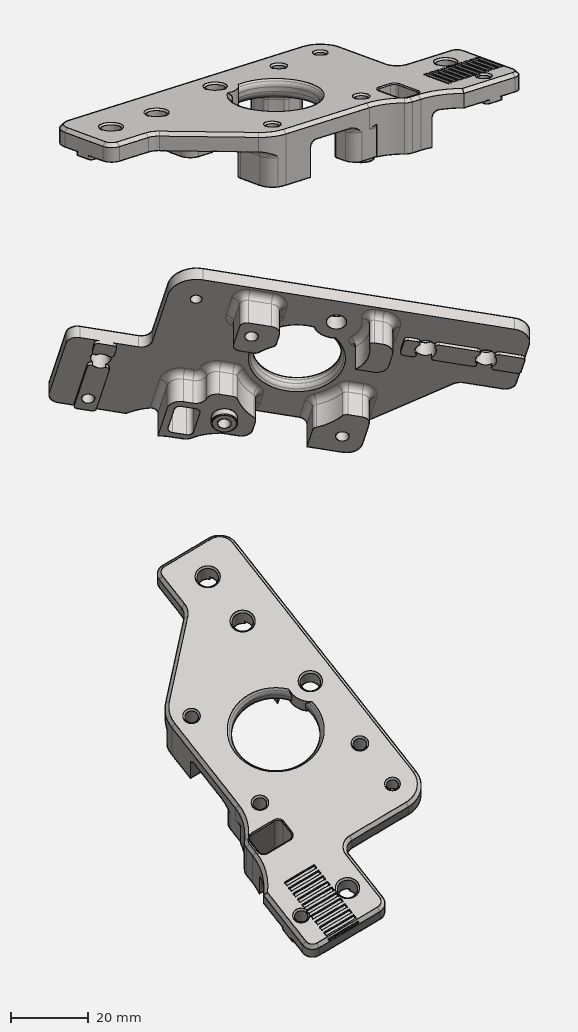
import cadquery as cq
import math

length = 116.0
width = 53.0
total_depth = 17.0
plate_depth = 5.0
boss_depth = 15.0
rail_depth = 6.0
overlap = 0.6
edge_chamfer = 1.0
hole_chamfer = 0.5

head_left = 28.1
shoulder = 94.5
foot_width = 22.4
body_right = 44.4
waist_right = 48.7
slant_offset = 7.7
head_right_bottom = 95.1
waist_top = 84.0
waist_bottom = 79.8
lower_sweep_start = 70.0
tight_corner = 3.0
base_corner = 5.0
shoulder_corner = 7.5
slant_upper_corner = 10.0
slant_lower_corner = 4.0

motor_x = 23.1
motor_y = 57.0
motor_half_pitch = 15.5
motor_hole = 3.5
bore_radius = 11.4
bore_flare = 0.6
bore_waist_height = 1.3
motor_relief = 16.0
relief_corner = 1.5

side_screw = (7.7, 50.1)
side_screw_hole = 5.2
screw_land_radius = 6.0
screw_relief = 8.6
screw_relief_corner = 1.0
foot_screw_x = 12.0
foot_screw_ys = (9.7, 25.6)
foot_screw_hole = 5.5
head_y = 106.0
head_screw_x = 34.3
head_screw_hole = 5.2
head_pin_x = 48.7
head_pin_hole = 3.4
corner_pin = (7.4, 87.1)
corner_pin_hole = 3.0
rail_width = 5.8
rail_corner = 1.0
rail_gap = 4.0
foot_rail_end = 31.8

window_left = 37.0
window_right = 47.0
window_bottom = 79.0
window_top = 85.7
window_corner = 1.5
window_wall = 1.9
window_chamfer = 0.3

boss_root_fillet = 2.0
left_boss_left = 2.8
left_boss_right = 13.5
upper_left_bottom = 65.7
upper_left_top = 76.3
upper_left_bottom_corner = 2.7
upper_left_top_corner = 2.0
lower_boss_bottom = 35.7
lower_boss_top = 49.4
lower_left_corner = 3.2
right_boss_left = 30.4
upper_right_bottom = 64.4
upper_right_top = 78.6
upper_right_corner = 3.0
lower_right_inner_corner = 2.3
lower_right_outer_corner = 4.3
pillar_corner = 3.5
trim_margin = 11.6
locating_ring = 6.7
ring_chamfer = 0.2

belt_left = 37.5
belt_right = 46.7
belt_groove = 1.2
belt_groove_depth = 0.75
belt_first_y = 96.0
belt_groove_count = 11
belt_pitch = (length - belt_first_y) / (belt_groove_count - 1)

motor = (motor_x, motor_y)
motor_left = motor_x - motor_half_pitch
motor_right = motor_x + motor_half_pitch
motor_bottom = motor_y - motor_half_pitch
motor_top = motor_y + motor_half_pitch


def box(left, right, bottom, top, z_low, z_high):
    """Block given by its limits along X, Y and Z."""
    return (
        cq.Workplane("XY")
        .box(right - left, top - bottom, z_high - z_low, centered=False)
        .translate((left, bottom, z_low))
    )


def round_corners(solid, corners):
    """Fillet the vertical edges nearest to the given (x, y, radius) corners."""
    middle = solid.val().BoundingBox().center.z
    for x, y, radius in corners:
        nearest = cq.selectors.NearestToPointSelector((x, y, middle))
        solid = solid.edges("|Z").edges(nearest).fillet(radius)
    return solid


def rounded_box(left, right, bottom, top, z_low, z_high, radius):
    return box(left, right, bottom, top, z_low, z_high).edges("|Z").fillet(radius)


def sweep_middle(start, end):
    """Point on an arc that is vertical at its end and starts to the right of it."""
    run = start[0] - end[0]
    rise = start[1] - end[1]
    radius = (run**2 + rise**2) / (2 * run)
    half_angle = math.asin(abs(rise) / radius) / 2
    return (
        end[0] + radius * (1 - math.cos(half_angle)),
        end[1] + math.copysign(radius * math.sin(half_angle), rise),
    )


def outline_prism(depth):
    """Plate outline, extruded down from the top face."""
    head_corner = (width, head_right_bottom)
    waist_corner = (waist_right, waist_top)
    waist_tip = (waist_right, waist_bottom)
    sweep_end = (body_right, lower_sweep_start)
    prism = (
        cq.Workplane("XY")
        .moveTo(0, 0)
        .lineTo(0, shoulder)
        .lineTo(head_left, shoulder)
        .lineTo(head_left, length)
        .lineTo(width, length)
        .lineTo(*head_corner)
        .threePointArc(sweep_middle(head_corner, waist_corner), waist_corner)
        .lineTo(*waist_tip)
        .threePointArc(sweep_middle(waist_tip, sweep_end), sweep_end)
        .lineTo(body_right, body_right - slant_offset)
        .lineTo(foot_width, foot_width - slant_offset)
        .lineTo(foot_width, 0)
        .close()
        .extrude(-depth)
    )
    return round_corners(
        prism,
        [
            (0, 0, base_corner),
            (0, shoulder, shoulder_corner),
            (head_left, shoulder, tight_corner),
            (head_left, length, tight_corner),
            (width, length, tight_corner),
            (waist_right, waist_bottom, tight_corner),
            (body_right, body_right - slant_offset, slant_upper_corner),
            (foot_width, foot_width - slant_offset, slant_lower_corner),
            (foot_width, 0, tight_corner),
        ],
    )


def relief(center, radius):
    """Round clearance through the full boss height."""
    return cq.Workplane("XY").center(*center).circle(radius).extrude(-boss_depth)


def boss_block(left, right, bottom, top):
    return box(left, right, bottom, top, -boss_depth, -plate_depth)


def circle_y(center, radius, x, side):
    """Y of a circle at the given X, on its upper (1) or lower (-1) side."""
    return center[1] + side * math.sqrt(radius**2 - (x - center[0]) ** 2)


def circle_x(center, radius, y, side):
    """X of a circle at the given Y, on its right (1) or left (-1) side."""
    return center[0] + side * math.sqrt(radius**2 - (y - center[1]) ** 2)


def upper_left_boss():
    boss = boss_block(left_boss_left, left_boss_right, upper_left_bottom, upper_left_top)
    corners = [
        (left_boss_left, upper_left_bottom, upper_left_bottom_corner),
        (left_boss_left, upper_left_top, upper_left_top_corner),
        (left_boss_right, upper_left_top, upper_left_top_corner),
        (left_boss_right, circle_y(motor, motor_relief, left_boss_right, 1), relief_corner),
        (circle_x(motor, motor_relief, upper_left_bottom, -1), upper_left_bottom, relief_corner),
    ]
    return round_corners(boss.cut(relief(motor, motor_relief)), corners)


def lower_left_boss():
    boss = boss_block(left_boss_left, left_boss_right, lower_boss_bottom, lower_boss_top)
    boss = boss.cut(relief(motor, motor_relief)).cut(relief(side_screw, screw_relief))
    corners = [
        (left_boss_left, lower_boss_bottom, lower_left_corner),
        (left_boss_right, lower_boss_bottom, lower_left_corner),
        (left_boss_left, circle_y(side_screw, screw_relief, left_boss_left, -1), screw_relief_corner),
    ]
    return round_corners(boss, corners)


def upper_right_boss():
    """Boss with the locating ring, joined to a pillar around the window."""
    pillar_left = window_left - window_wall
    pillar_top = window_top + window_wall
    pillar_right = waist_right + trim_margin / 2
    boss = boss_block(right_boss_left, body_right, upper_right_bottom, upper_right_top)
    pillar = boss_block(pillar_left, pillar_right, motor_top, pillar_top)
    corners = [
        (right_boss_left, circle_y(motor, motor_relief, right_boss_left, 1), relief_corner),
        (circle_x(motor, motor_relief, upper_right_bottom, 1), upper_right_bottom, relief_corner),
        (body_right, upper_right_bottom, upper_right_corner),
        (right_boss_left, upper_right_top, upper_right_corner),
        (pillar_left, upper_right_top, upper_right_corner),
        (pillar_left, pillar_top, pillar_corner),
    ]
    return round_corners(boss.union(pillar).cut(relief(motor, motor_relief)), corners)


def lower_right_boss():
    boss = boss_block(right_boss_left, body_right, lower_boss_bottom, lower_boss_top)
    corners = [
        (right_boss_left, lower_boss_bottom, lower_right_inner_corner),
        (body_right, lower_boss_bottom, lower_right_outer_corner),
        (right_boss_left, circle_y(motor, motor_relief, right_boss_left, -1), relief_corner),
        (circle_x(motor, motor_relief, lower_boss_top, 1), lower_boss_top, relief_corner),
    ]
    return round_corners(boss.cut(relief(motor, motor_relief)), corners)


def plate_with_bosses():
    slab = box(
        -trim_margin, width + trim_margin, -trim_margin, length + trim_margin, -plate_depth, 0
    )
    bosses = [upper_left_boss(), lower_left_boss(), upper_right_boss(), lower_right_boss()]
    body = slab
    for boss in bosses:
        body = body.union(boss)
    reach = trim_margin / 2
    roots = cq.selectors.BoxSelector(
        (-reach, -reach, -plate_depth - overlap), (width + reach, length + reach, -plate_depth + overlap)
    )
    body = body.edges(roots).fillet(boss_root_fillet)
    return body.intersect(outline_prism(boss_depth).faces(">Z").chamfer(edge_chamfer))


def rails():
    """Locating rails under the foot and the head, interrupted at the screws."""
    low = -rail_depth
    high = -plate_depth + overlap
    limits = [0]
    for y in foot_screw_ys:
        limits += [y - rail_gap / 2, y + rail_gap / 2]
    limits.append(foot_rail_end)
    half = rail_width / 2
    parts = cq.Workplane("XY")
    for start, end in zip(limits[0::2], limits[1::2]):
        parts = parts.union(
            rounded_box(foot_screw_x - half, foot_screw_x + half, start, end, low, high, rail_corner)
        )
    spans = [(head_left, head_screw_x - rail_gap / 2), (head_screw_x + rail_gap / 2, width)]
    for start, end in spans:
        parts = parts.union(rounded_box(start, end, head_y - half, head_y + half, low, high, rail_corner))
    return parts


def chamfered_hole(x, y, diameter):
    """Cutter for a through hole with a chamfered rim on the top face."""
    radius = diameter / 2
    hole = cq.Workplane("XY").center(x, y).circle(radius).extrude(-total_depth)
    rim = cq.Solid.makeCone(radius, radius + hole_chamfer, hole_chamfer, pnt=(x, y, -hole_chamfer))
    return hole.union(cq.Workplane(rim))


def motor_bore():
    """Waisted bore with rounded flanks, leaving a land around the side screw."""
    waist_high = -plate_depth / 2 + bore_waist_height / 2
    waist_low = -plate_depth - waist_high
    flare = bore_radius + bore_flare
    rim = flare + hole_chamfer
    upper_rim = (flare, -hole_chamfer)
    lower_rim = (flare, hole_chamfer - plate_depth)
    upper_waist = (bore_radius, waist_high)
    lower_waist = (bore_radius, waist_low)
    cutter = (
        cq.Workplane("XZ")
        .moveTo(0, 0)
        .lineTo(rim, 0)
        .lineTo(*upper_rim)
        .threePointArc(sweep_middle(upper_rim, upper_waist), upper_waist)
        .lineTo(*lower_waist)
        .threePointArc(sweep_middle(lower_rim, lower_waist), lower_rim)
        .lineTo(rim, -plate_depth)
        .lineTo(0, -plate_depth)
        .close()
        .revolve(360, (0, 0), (0, 1))
        .translate((motor_x, motor_y, 0))
    )
    land = cq.Workplane("XY").center(*side_screw).circle(screw_land_radius).extrude(-plate_depth)
    return cutter.cut(land)


def window():
    opening = rounded_box(
        window_left, window_right, window_bottom, window_top, -boss_depth, 0, window_corner
    )
    rim = (
        cq.Workplane("XY", origin=(0, 0, -window_chamfer))
        .add(opening.faces(">Z").wires().translate((0, 0, -window_chamfer)))
        .toPending()
        .extrude(window_chamfer, taper=-45)
    )
    return opening.union(rim)


def belt_grooves():
    grooves = cq.Workplane("XY")
    for i in range(belt_groove_count):
        y = belt_first_y + i * belt_pitch
        grooves = grooves.union(
            box(belt_left, belt_right, y - belt_groove / 2, y + belt_groove / 2, -belt_groove_depth, 0)
        )
    return grooves


ring = (
    cq.Workplane("XY", origin=(motor_right, motor_top, -total_depth))
    .circle(locating_ring / 2)
    .extrude(total_depth - boss_depth + overlap)
    .faces("<Z")
    .chamfer(ring_chamfer)
)

holes = [
    (motor_left, motor_top, motor_hole),
    (motor_right, motor_top, motor_hole),
    (motor_right, motor_bottom, motor_hole),
    (*side_screw, side_screw_hole),
    (head_screw_x, head_y, head_screw_hole),
    (head_pin_x, head_y, head_pin_hole),
    (*corner_pin, corner_pin_hole),
]
holes += [(foot_screw_x, y, foot_screw_hole) for y in foot_screw_ys]

result = plate_with_bosses().union(rails()).union(ring)
for x, y, diameter in holes:
    result = result.cut(chamfered_hole(x, y, diameter))
result = result.cut(motor_bore()).cut(window()).cut(belt_grooves())